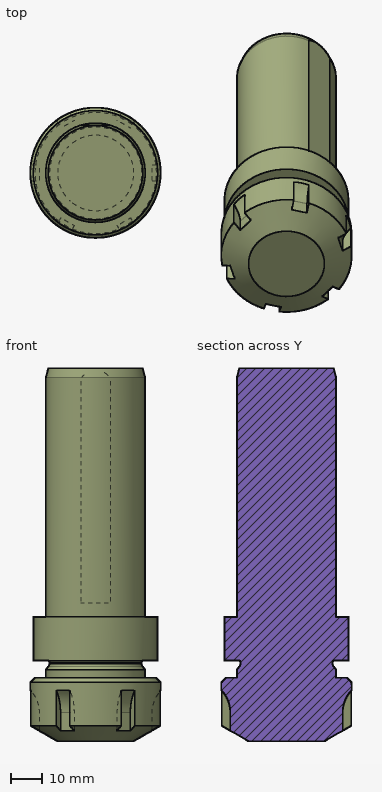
import cadquery as cq
import math

total_length = 120.0
cone_height = 5.0
nut_top = 20.5
nut_chamfer = 1.5
thread_top = 23.1
groove_bottom = 24.2
groove_floor_bottom = 24.9
groove_floor_top = 25.3
collar_bottom = 26.0
collar_top = 40.0
shank_chamfer_height = 3.0

nose_radius = 12.2
nut_radius = 21.0
thread_radius = 16.0
groove_edge_radius = 15.1
groove_floor_radius = 14.8
collar_radius = 20.0
shank_radius = 16.0
shank_tip_radius = 15.2

flat_distance = 15.3
flat_bottom = 44.5

slot_count = 6
slot_width = 5.0
slot_floor_radius = 18.1
slot_floor_top = 9.3
slot_top = 16.5


def turned_body():
    """Holder and nut as one revolved profile of (radius, height) points."""
    profile = [
        (0, 0),
        (nose_radius, 0),
        (nut_radius, cone_height),
        (nut_radius, nut_top - nut_chamfer),
        (nut_radius - nut_chamfer, nut_top),
        (thread_radius, nut_top),
        (thread_radius, thread_top),
        (groove_edge_radius, groove_bottom),
        (groove_floor_radius, groove_floor_bottom),
        (groove_floor_radius, groove_floor_top),
        (groove_edge_radius, collar_bottom),
        (collar_radius, collar_bottom),
        (collar_radius, collar_top),
        (shank_radius, collar_top),
        (shank_radius, total_length - shank_chamfer_height),
        (shank_tip_radius, total_length),
        (0, total_length),
    ]
    half_plane = cq.Plane(origin=(0, 0, 0), xDir=(0, -1, 0), normal=(-1, 0, 0))
    return cq.Workplane(half_plane).polyline(profile).close().revolve(360, (0, 0), (0, 1))


def shank_flat():
    """Block that cuts the flat on the +Y side, open at the shank end."""
    flat_depth = shank_radius - flat_distance
    return (
        cq.Workplane("XY", origin=(0, shank_radius, flat_bottom))
        .rect(2 * shank_radius, 2 * flat_depth)
        .extrude(total_length - flat_bottom)
    )


def spanner_slot():
    """Slot cutter on the +X side: flat floor that curves outward at its upper end."""
    rise = slot_top - slot_floor_top
    depth = nut_radius - slot_floor_radius
    arc_radius = (rise**2 + depth**2) / (2 * depth)
    half_angle = math.asin(rise / arc_radius) / 2
    arc_mid = (
        slot_floor_radius + arc_radius * (1 - math.cos(half_angle)),
        slot_floor_top + arc_radius * math.sin(half_angle),
    )
    outer_radius = nut_radius + depth
    return (
        cq.Workplane("XZ")
        .moveTo(slot_floor_radius, 0)
        .lineTo(slot_floor_radius, slot_floor_top)
        .threePointArc(arc_mid, (nut_radius, slot_top))
        .lineTo(outer_radius, slot_top)
        .lineTo(outer_radius, 0)
        .close()
        .extrude(slot_width / 2, both=True)
    )


result = turned_body().cut(shank_flat())
for index in range(slot_count):
    slot = spanner_slot().rotate((0, 0, 0), (0, 0, 1), index * 360 / slot_count)
    result = result.cut(slot)